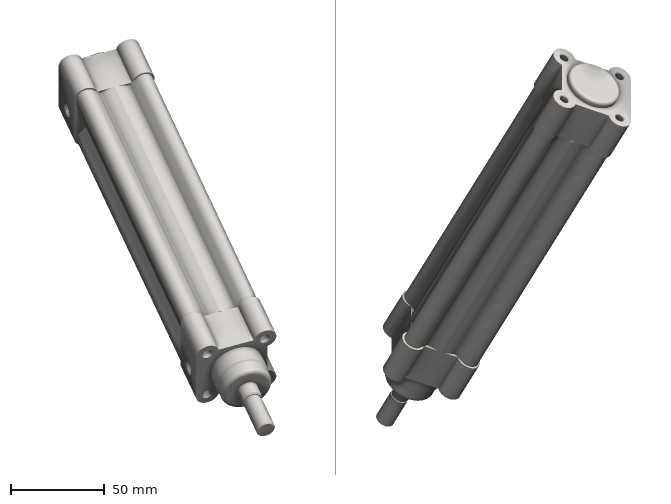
import cadquery as cq
import math

overall_length = 271.0
rear_boss_length = 3.8
cap_length = 25.2
front_cap_end = 223.3
rear_cap_start = rear_boss_length
rear_cap_end = rear_cap_start + cap_length
front_cap_start = front_cap_end - cap_length
nose_step = 233.0
nose_end = 241.0

cap_half_width = 22.8
recess_half_width = 17.5
screw_offset = 16.3
cap_ear_radius = cap_half_width - screw_offset
screw_radius = 2.5
screw_chamfer = 0.5
screw_depth = 13.5
boss_radius = 15.0
boss_fillet = 2.0
port_radius = 4.3
port_chamfer = 0.4
port_drop = 5.5
port_depth = 10.8

nose_radius = 14.4
nose_fillet = 2.5

barrel_radius = 17.5
barrel_ear_radius = 5.5
ridge_half_width = 3.5
barrel_fillet = 1.5

rod_radius = 6.0
rod_start = front_cap_start
flats_start = 242.0
flats_half_width = 5.1
rod_shoulder = 249.0
shoulder_chamfer = 0.8
thread_start = 251.5
thread_radius = 5.1
thread_chamfer = 0.5
neck_radius = 4.5

ear_centers = [(y * screw_offset, z * screw_offset) for y in (-1, 1) for z in (-1, 1)]


def section_plane(x):
    """Plane across the axis at x, with local axes along Y and Z."""
    return cq.Workplane("YZ", origin=(x, 0, 0))


def cylinder(x_start, x_end, radius):
    """Solid cylinder on the main axis."""
    return section_plane(x_start).circle(radius).extrude(x_end - x_start)


def cap_block(x_start):
    """Cap with four round ears, flat on -Y and recessed on the other three sides."""
    core = section_plane(x_start).rect(2 * recess_half_width, 2 * recess_half_width).extrude(cap_length)
    ears = section_plane(x_start).pushPoints(ear_centers).circle(cap_ear_radius).extrude(cap_length)
    port_wall = (
        section_plane(x_start)
        .center(-cap_half_width / 2, 0)
        .rect(cap_half_width, 2 * screw_offset)
        .extrude(cap_length)
    )
    return core.union(ears).union(port_wall)


def chamfered_hole(mouth, axis, radius, depth, chamfer):
    """Tool for a blind hole with a chamfered mouth."""
    bore = cq.Solid.makeCylinder(radius, depth, mouth, axis)
    countersink = cq.Solid.makeCone(radius + chamfer, radius, chamfer, mouth, axis)
    return cq.Workplane(bore).union(cq.Workplane(countersink))


def cut_port(cap, x_start):
    """Air port bored into the flat -Y side."""
    mouth = cq.Vector(x_start + cap_length / 2, -cap_half_width, -port_drop)
    return cap.cut(chamfered_hole(mouth, cq.Vector(0, 1, 0), port_radius, port_depth, port_chamfer))


def cut_screw_holes(cap, x_face, inward):
    """Blind holes in the ears, bored from the outer face along inward (+1 or -1)."""
    for y, z in ear_centers:
        mouth = cq.Vector(x_face, y, z)
        cap = cap.cut(chamfered_hole(mouth, cq.Vector(inward, 0, 0), screw_radius, screw_depth, screw_chamfer))
    return cap


def make_rear_cap():
    cap = cut_port(cap_block(rear_cap_start), rear_cap_start)
    cap = cut_screw_holes(cap, rear_cap_start, 1)
    boss = cylinder(0, rear_cap_start, boss_radius).faces("<X").edges().fillet(boss_fillet)
    return cap.union(boss)


def make_front_cap():
    cap = cut_port(cap_block(front_cap_start), front_cap_start)
    cap = cut_screw_holes(cap, front_cap_end, -1)
    step_chamfer = boss_radius - nose_radius
    boss = cylinder(front_cap_end, nose_step, boss_radius).faces(">X").edges().chamfer(step_chamfer)
    nose = cylinder(front_cap_end, nose_end, nose_radius).faces(">X").edges().fillet(nose_fillet)
    return cap.union(boss).union(nose).cut(cylinder(rod_start, nose_end, rod_radius))


def make_barrel():
    """Round profile with a ridge on each side and a rounded rib to each corner."""
    length = front_cap_start - rear_cap_end
    barrel = cylinder(rear_cap_end, front_cap_start, barrel_radius)

    slope = math.asin(ridge_half_width / barrel_radius)
    ridge_peak = barrel_radius / math.cos(slope)
    ridge_base = barrel_radius * math.cos(slope)
    ridge_points = [(0, 0), (ridge_base, -ridge_half_width), (ridge_peak, 0), (ridge_base, ridge_half_width)]
    ridge = section_plane(rear_cap_end).polyline(ridge_points).close().extrude(length)

    ear_distance = screw_offset * math.sqrt(2)
    rib = (
        section_plane(rear_cap_end)
        .center(ear_distance / 2, 0)
        .rect(ear_distance, 2 * barrel_ear_radius)
        .extrude(length)
    )
    ear = section_plane(rear_cap_end).center(ear_distance, 0).circle(barrel_ear_radius).extrude(length)
    rib = rib.union(ear)

    x_axis = ((0, 0, 0), (1, 0, 0))
    for quarter in range(4):
        barrel = barrel.union(ridge.rotate(*x_axis, 90 * quarter))
        barrel = barrel.union(rib.rotate(*x_axis, 90 * quarter + 45))

    corner_angle = math.pi / 4 - math.asin(barrel_ear_radius / barrel_radius)
    near = barrel_radius * math.sin(corner_angle)
    far = barrel_radius * math.cos(corner_angle)
    corners = [(s * a, t * b) for a, b in ((near, far), (far, near)) for s in (-1, 1) for t in (-1, 1)]
    middle = (rear_cap_end + front_cap_start) / 2
    for y, z in corners:
        corner_edge = cq.selectors.NearestToPointSelector((middle, y, z))
        barrel = barrel.edges("|X").edges(corner_edge).fillet(barrel_fillet)
    return barrel


def make_rod():
    """Piston rod with two wrench flats, a neck and a threaded end."""
    rod = cylinder(rod_start, rod_shoulder, rod_radius).faces(">X").edges().chamfer(shoulder_chamfer)
    flat_depth = rod_radius - flats_half_width
    for side in (-1, 1):
        outline = [
            (flats_start, side * rod_radius),
            (flats_start + flat_depth, side * flats_half_width),
            (rod_shoulder, side * flats_half_width),
            (rod_shoulder, side * rod_radius),
        ]
        waste = cq.Workplane("XY").polyline(outline).close().extrude(rod_radius, both=True)
        rod = rod.cut(waste)
    neck = cylinder(rod_shoulder, thread_start, neck_radius)
    thread = cylinder(thread_start, overall_length, thread_radius).faces(">X").edges().chamfer(thread_chamfer)
    return rod.union(neck).union(thread)


rear_cap = make_rear_cap()
front_cap = make_front_cap()
barrel = make_barrel()
rod = make_rod()

result = cq.Compound.makeCompound([rear_cap.val(), front_cap.val(), barrel.val(), rod.val()])